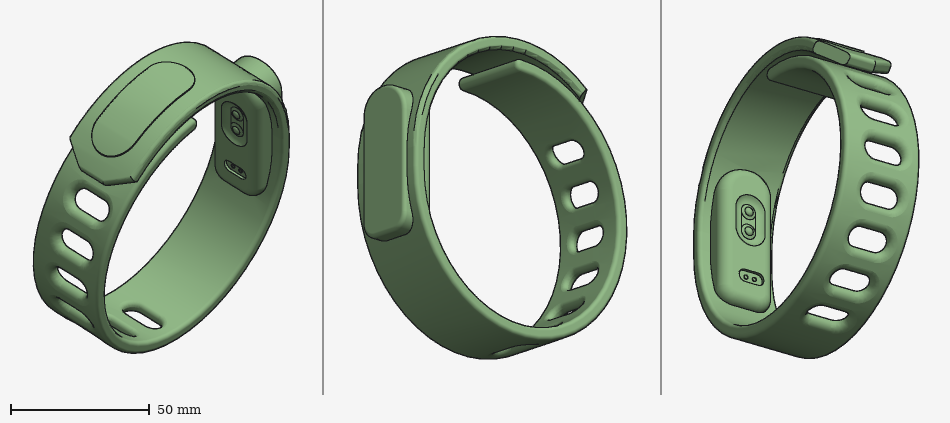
import cadquery as cq
import math

STRAP_WIDTH = 31.46
STRAP_RADIUS = 52.7
STRAP_THICKNESS = 4.9
STRAIGHT_RUN = 7.5
TIP_ANGLE = 42.9
EDGE_FILLET = 1.5
TAIL_EXTENSION = 2.4
TAIL_FILLET = 2.3
TIP_LEFT_CORNER_WIDTH = 11.1
TIP_RIGHT_CORNER_WIDTH = 10.0
TIP_LEFT_CORNER_LENGTH = 8.5
TIP_RIGHT_CORNER_LENGTH = 7.0
WEDGE_OVERRUN = 0.2
LENGTH_TOLERANCE = 0.1

SLOT_PITCH = 19.0
SLOT_STEPS = range(-4, 3)
SLOT_X = 1.55
SLOT_STRAIGHT = 8.4
SLOT_RADIUS = 3.85
SLOT_OUTER_FILLET = 2.9
SLOT_INNER_FILLET = 1.8
SLOT_INNER_CLEARANCE = 1.2
SLOT_OUTER_CLEARANCE = 0.1
RIM_TOLERANCE = 0.8

LABEL_X = -0.66
LABEL_WIDTH = 18.2
LABEL_LENGTH = 47.4
LABEL_THICKNESS = 0.56
LABEL_ANGLE = 79.4

TRACKER_HALF_WIDTH = 11.0
TRACKER_TOP = 34.25
TRACKER_BOTTOM = -22.4
TRACKER_FRONT = 39.02
TRACKER_BACK = 53.99
TOP_LEFT_RADIUS = 11.5
TOP_RIGHT_RADIUS = 9.6
BOTTOM_RADIUS = 6.2
FRONT_FILLET = 4.2
BACK_FILLET = 1.5

SENSOR_X = 0.6
LED_HEIGHTS = (16.4, 8.4)
RECESS_RADIUS = 6.2
RECESS_DEPTH = 1.5
SENSOR_RADIUS = 3.0
SENSOR_THICKNESS = 1.5
LED_BASE_RADIUS = SENSOR_RADIUS
LED_DOME_RADIUS = 1.75
LED_BASE_HEIGHT = 0.5
LED_HEIGHT = 1.3
LED_TIP_RADIUS = 0.45
LED_DOME_ARC_RADIUS = 1.5

PORT_X = 1.0
PORT_Z = -10.7
PORT_LENGTH = 10.4
PORT_WIDTH = 5.0
PORT_DEPTH = 1.1
CONTACT_SPACING = 3.55
CONTACT_RADIUS = 0.8
CONTACT_HEIGHT = 0.3

INNER_RADIUS = STRAP_RADIUS - STRAP_THICKNESS
HALF_STRAP = STRAP_WIDTH / 2
BACK_ANGLE = 180
BOTTOM_ANGLE = 270


def around(radius, angle, centre_z=0.0):
    """(Y, Z) on a strap arc, with the angle in degrees measured up from -Y."""
    turn = math.radians(angle)
    return (-radius * math.cos(turn), centre_z + radius * math.sin(turn))


def radial_plane(x, angle, centre_z=0.0):
    """Plane at a strap arc's centre: its normal points outward, its X axis along the part's X."""
    outward_y, outward_z = around(1, angle)
    return cq.Plane(origin=(x, 0, centre_z), xDir=(1, 0, 0), normal=(0, outward_y, outward_z))


def facing_skin(x, y, z):
    """Workplane whose normal is -Y, with local axes along the part's X and Z."""
    return cq.Workplane("XZ", origin=(x, y, z))


def strap_blank():
    """Strap with square edges and ends."""
    tip_middle = (TIP_ANGLE + BACK_ANGLE) / 2
    lower_middle = (BOTTOM_ANGLE + BACK_ANGLE) / 2
    profile = (
        cq.Workplane("YZ", origin=(-HALF_STRAP, 0, 0))
        .moveTo(TAIL_EXTENSION, STRAP_RADIUS)
        .lineTo(0, STRAP_RADIUS)
        .threePointArc((-STRAP_RADIUS, 0), (0, -STRAP_RADIUS))
        .threePointArc(around(STRAP_RADIUS, lower_middle), (STRAP_RADIUS, 0))
        .lineTo(STRAP_RADIUS, STRAIGHT_RUN)
        .threePointArc(
            around(STRAP_RADIUS, tip_middle, STRAIGHT_RUN),
            around(STRAP_RADIUS, TIP_ANGLE, STRAIGHT_RUN),
        )
        .lineTo(*around(INNER_RADIUS, TIP_ANGLE, STRAIGHT_RUN))
        .threePointArc(
            around(INNER_RADIUS, tip_middle, STRAIGHT_RUN),
            (INNER_RADIUS, STRAIGHT_RUN),
        )
        .lineTo(INNER_RADIUS, 0)
        .threePointArc(around(INNER_RADIUS, lower_middle), (0, -INNER_RADIUS))
        .threePointArc((-INNER_RADIUS, 0), (0, INNER_RADIUS))
        .lineTo(TAIL_EXTENSION, INNER_RADIUS)
        .close()
    )
    return profile.extrude(STRAP_WIDTH)


def upper_ring(inner_radius, outer_radius):
    """Full-width ring about the upper arc's centre."""
    return (
        cq.Workplane("YZ", origin=(-HALF_STRAP, 0, STRAIGHT_RUN))
        .circle(outer_radius)
        .circle(inner_radius)
        .extrude(STRAP_WIDTH)
    )


def tip_corner(side, width, length):
    """Wedge that trims the tip's corner on the -X (side = -1) or +X (side = 1) edge."""
    tip_y, tip_z = around(STRAP_RADIUS, TIP_ANGLE, STRAIGHT_RUN)
    cut_angle = TIP_ANGLE + math.degrees(length / STRAP_RADIUS) / 2
    outward_y, outward_z = around(1, cut_angle)
    plane = cq.Plane(
        origin=(side * HALF_STRAP, tip_y, tip_z),
        xDir=(side, 0, 0),
        normal=(0, outward_y, outward_z),
    )
    extra_width = WEDGE_OVERRUN * width
    extra_length = WEDGE_OVERRUN * length
    wedge = (
        cq.Workplane(plane)
        .polyline([
            (extra_width, side * (length + extra_length)),
            (-width - extra_width, -side * extra_length),
            (extra_width, -side * extra_length),
        ])
        .close()
        .extrude(2 * STRAP_THICKNESS, both=True)
    )
    return wedge.intersect(upper_ring(INNER_RADIUS, STRAP_RADIUS))


def is_not_tip_thickness_edge(edge):
    is_thickness_edge = abs(edge.Length() - STRAP_THICKNESS) < LENGTH_TOLERANCE
    return not is_thickness_edge


def trimmed_strap():
    """Strap with its free ends shaped and its edges rounded, before slots and tracker opening."""
    blank = strap_blank().cut(tip_corner(1, TIP_RIGHT_CORNER_WIDTH, TIP_RIGHT_CORNER_LENGTH))
    tail_end = cq.selectors.BoxSelector(
        (-HALF_STRAP, TAIL_EXTENSION - LENGTH_TOLERANCE, INNER_RADIUS - LENGTH_TOLERANCE),
        (HALF_STRAP, TAIL_EXTENSION + LENGTH_TOLERANCE, STRAP_RADIUS + LENGTH_TOLERANCE),
    )
    blank = blank.edges("|X").edges(tail_end).fillet(TAIL_FILLET)

    side_edges = blank.faces("<X or >X").edges()
    tip_y, tip_z = around(STRAP_RADIUS, TIP_ANGLE, STRAIGHT_RUN)
    tip_box = cq.selectors.BoxSelector(
        (-STRAP_WIDTH, tip_y - TIP_LEFT_CORNER_LENGTH, tip_z - TIP_LEFT_CORNER_LENGTH),
        (STRAP_WIDTH, tip_y + TIP_LEFT_CORNER_LENGTH, tip_z + TIP_LEFT_CORNER_LENGTH),
    )
    rounded = side_edges.add(blank.edges(tip_box)).filter(is_not_tip_thickness_edge)
    rounded_strap = rounded.fillet(EDGE_FILLET)
    return rounded_strap.cut(tip_corner(-1, TIP_LEFT_CORNER_WIDTH, TIP_LEFT_CORNER_LENGTH))


def slot_rim(strap, angle, radius):
    """Edges where one slot opens through the strap surface of the given radius."""
    rim_y, rim_z = around(radius, angle)
    reach = SLOT_RADIUS + RIM_TOLERANCE

    def is_on_rim(edge):
        middle = edge.Center()
        is_on_surface = abs(math.hypot(middle.y, middle.z) - radius) < RIM_TOLERANCE
        is_near_slot = math.hypot(middle.y - rim_y, middle.z - rim_z) < reach
        is_inside_edges = abs(middle.x) < HALF_STRAP - EDGE_FILLET - RIM_TOLERANCE
        return is_on_surface and is_near_slot and is_inside_edges

    return strap.edges().filter(is_on_rim)


def add_slot(strap, angle):
    """Cut one slot through the strap and round both its rims."""
    cutter = (
        cq.Workplane(radial_plane(SLOT_X, angle))
        .workplane(offset=INNER_RADIUS - SLOT_INNER_CLEARANCE)
        .slot2D(SLOT_STRAIGHT + 2 * SLOT_RADIUS, 2 * SLOT_RADIUS)
        .extrude(STRAP_THICKNESS + SLOT_INNER_CLEARANCE + SLOT_OUTER_CLEARANCE)
    )
    strap = strap.cut(cutter)
    strap = slot_rim(strap, angle, STRAP_RADIUS).fillet(SLOT_OUTER_FILLET)
    return slot_rim(strap, angle, INNER_RADIUS).fillet(SLOT_INNER_FILLET)


def make_strap():
    strap = trimmed_strap().cut(tracker_blank())
    for step in SLOT_STEPS:
        strap = add_slot(strap, step * SLOT_PITCH)
    return strap


def make_label():
    """Obround plate lying on the upper arc's outer surface."""
    outline = (
        cq.Workplane(radial_plane(LABEL_X, LABEL_ANGLE, STRAIGHT_RUN))
        .slot2D(LABEL_LENGTH, LABEL_WIDTH, 90)
        .extrude(STRAP_RADIUS + STRAP_THICKNESS)
    )
    return outline.intersect(upper_ring(STRAP_RADIUS, STRAP_RADIUS + LABEL_THICKNESS))


def tracker_blank():
    """Closed tracker case, flat at the top only between its two unequal corner arcs."""
    flat_start = TOP_LEFT_RADIUS - TRACKER_HALF_WIDTH
    flat_end = TRACKER_HALF_WIDTH - TOP_RIGHT_RADIUS
    outline = (
        facing_skin(0, TRACKER_BACK, 0)
        .moveTo(-TRACKER_HALF_WIDTH + BOTTOM_RADIUS, TRACKER_BOTTOM)
        .lineTo(TRACKER_HALF_WIDTH - BOTTOM_RADIUS, TRACKER_BOTTOM)
        .radiusArc((TRACKER_HALF_WIDTH, TRACKER_BOTTOM + BOTTOM_RADIUS), -BOTTOM_RADIUS)
        .lineTo(TRACKER_HALF_WIDTH, TRACKER_TOP - TOP_RIGHT_RADIUS)
        .radiusArc((flat_end, TRACKER_TOP), -TOP_RIGHT_RADIUS)
        .lineTo(flat_start, TRACKER_TOP)
        .radiusArc((-TRACKER_HALF_WIDTH, TRACKER_TOP - TOP_LEFT_RADIUS), -TOP_LEFT_RADIUS)
        .lineTo(-TRACKER_HALF_WIDTH, TRACKER_BOTTOM + BOTTOM_RADIUS)
        .radiusArc((-TRACKER_HALF_WIDTH + BOTTOM_RADIUS, TRACKER_BOTTOM), -BOTTOM_RADIUS)
        .close()
    )
    case = outline.extrude(TRACKER_BACK - TRACKER_FRONT)
    case = case.faces("<Y").edges().fillet(FRONT_FILLET)
    return case.faces(">Y").edges().fillet(BACK_FILLET)


def sensor_recess():
    """Obround dish whose convex wall starts flush with the front face and ends at the sensor."""
    wall_width = RECESS_RADIUS - SENSOR_RADIUS
    wall_radius = (wall_width**2 + RECESS_DEPTH**2) / (2 * RECESS_DEPTH)
    upper_z, lower_z = LED_HEIGHTS

    def half_section(z):
        return (
            cq.Workplane("XY", origin=(SENSOR_X, TRACKER_FRONT, z))
            .lineTo(RECESS_RADIUS, 0)
            .radiusArc((SENSOR_RADIUS, RECESS_DEPTH), -wall_radius)
            .lineTo(0, RECESS_DEPTH)
            .close()
        )

    right_half = half_section(lower_z).extrude(upper_z - lower_z)
    recess = right_half.union(right_half.mirror("YZ", (SENSOR_X, 0, 0)))
    for z in LED_HEIGHTS:
        recess = recess.union(half_section(z).revolve(360, (0, 0), (0, 1)))
    return recess


def sensor_plate():
    """Obround plate at the floor of the sensor recess."""
    upper_z, lower_z = LED_HEIGHTS
    length = upper_z - lower_z + 2 * SENSOR_RADIUS
    back = TRACKER_FRONT + RECESS_DEPTH + SENSOR_THICKNESS
    return (
        facing_skin(SENSOR_X, back, (upper_z + lower_z) / 2)
        .slot2D(length, 2 * SENSOR_RADIUS, 90)
        .extrude(SENSOR_THICKNESS)
    )


def charging_port():
    """Obround pocket that leaves two contacts standing on its floor."""
    floor = TRACKER_FRONT + PORT_DEPTH
    pocket = (
        facing_skin(PORT_X, floor, PORT_Z)
        .slot2D(PORT_LENGTH, PORT_WIDTH)
        .extrude(PORT_DEPTH)
    )
    contacts = (
        facing_skin(PORT_X, floor, PORT_Z)
        .rarray(CONTACT_SPACING, 1, 2, 1)
        .circle(CONTACT_RADIUS)
        .extrude(CONTACT_HEIGHT)
    )
    return pocket.cut(contacts)


def make_tracker():
    return tracker_blank().cut(sensor_recess()).cut(sensor_plate()).cut(charging_port())


def led(z):
    """Low conical base carrying a flat-tipped dome, standing on the sensor plate."""
    return (
        cq.Workplane("XY", origin=(SENSOR_X, TRACKER_FRONT + RECESS_DEPTH, z))
        .lineTo(LED_BASE_RADIUS, 0)
        .lineTo(LED_DOME_RADIUS, -LED_BASE_HEIGHT)
        .radiusArc((LED_TIP_RADIUS, -LED_HEIGHT), LED_DOME_ARC_RADIUS)
        .lineTo(0, -LED_HEIGHT)
        .close()
        .revolve(360, (0, 0), (0, 1))
    )


def make_sensor():
    sensor = sensor_plate()
    for z in LED_HEIGHTS:
        sensor = sensor.union(led(z))
    return sensor


strap = make_strap()
label = make_label()
tracker = make_tracker()
sensor = make_sensor()

result = cq.Compound.makeCompound([
    strap.solids().val(),
    label.solids().val(),
    tracker.solids().val(),
    sensor.solids().val(),
])